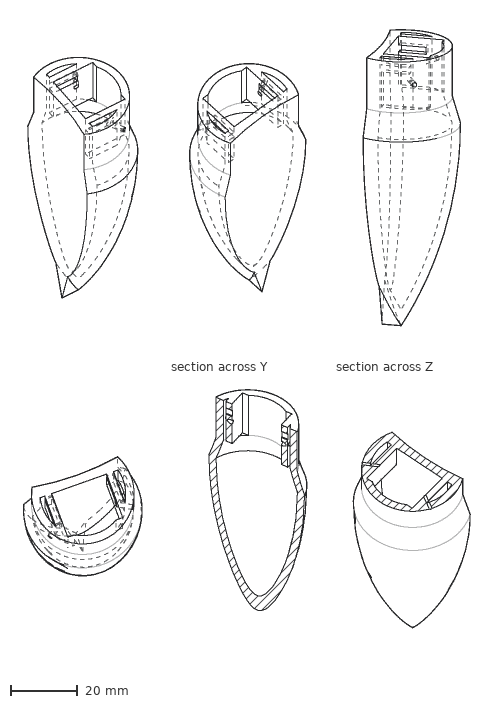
import cadquery as cq
import math

total_height = 88.1
neck_base_z = 72.1
shoulder_z = 63.7

shoulder_radius = 17.76
neck_radius = 15.3
wall = 2.6

face_radius = 82.85
face_y = -5.9

wedge_height = 12.6
wedge_half_width = 3.2

floor_y = -3.2
bore_radius = neck_radius - wall
rib_inner_x = 8.7
rib_outer_x = 10.9
rib_thickness = rib_outer_x - rib_inner_x
channel_back_y = 10.9

window_bottom_z = 83.1
window_height = 2.2
window_back_y = 5.4

pin_z = 80.7
pin_radius = 0.7
pin_angle = 30


def box(x_min, x_max, y_min, y_max, z_min, z_max):
    size = (x_max - x_min, y_max - y_min, z_max - z_min)
    return cq.Workplane("XY").box(*size, centered=False).translate((x_min, y_min, z_min))


def bullet(neck_r, shoulder_r, tip_z):
    """Revolved neck, flare and ogive; the ogive arc starts vertical at the shoulder."""
    drop = shoulder_z - tip_z
    arc_radius = (shoulder_r**2 + drop**2) / (2 * shoulder_r)
    half_sweep = math.asin(drop / arc_radius) / 2
    mid_r = shoulder_r - arc_radius * (1 - math.cos(half_sweep))
    mid_z = shoulder_z - arc_radius * math.sin(half_sweep)
    profile = (
        cq.Workplane("XZ")
        .moveTo(0, tip_z)
        .threePointArc((mid_r, mid_z), (shoulder_r, shoulder_z))
        .lineTo(neck_r, neck_base_z)
        .lineTo(neck_r, total_height)
        .lineTo(0, total_height)
        .close()
    )
    return profile.revolve(360, (0, 0, 0), (0, 1, 0))


def outer_body():
    wedge = (
        cq.Workplane("XZ")
        .polyline([(0, 0), (wedge_half_width, wedge_height), (-wedge_half_width, wedge_height)])
        .close()
        .extrude(shoulder_radius)
    )
    face_cutter = (
        cq.Workplane("XY")
        .center(0, face_y - face_radius)
        .circle(face_radius)
        .extrude(total_height)
    )
    return bullet(neck_radius, shoulder_radius, 0).union(wedge).cut(face_cutter)


def cavity():
    """Hollow with a flat front wall, a box channel in the neck and a rib on each side."""
    arc_radius = (shoulder_radius**2 + shoulder_z**2) / (2 * shoulder_radius)
    inner_drop = math.sqrt((arc_radius - wall)**2 - (arc_radius - shoulder_radius)**2)
    hollow = bullet(bore_radius, shoulder_radius - wall, shoulder_z - inner_drop)
    reach = shoulder_radius
    hollow = hollow.intersect(box(-reach, reach, floor_y, reach, 0, total_height))
    channel = box(-rib_inner_x, rib_inner_x, floor_y, channel_back_y, neck_base_z, total_height)
    hollow = hollow.union(channel)
    for rib_x in (-rib_outer_x, rib_inner_x):
        rib = box(rib_x, rib_x + rib_thickness, floor_y, reach, neck_base_z, total_height)
        window = box(
            rib_x, rib_x + rib_thickness, floor_y, window_back_y,
            window_bottom_z, window_bottom_z + window_height,
        )
        hollow = hollow.cut(rib).union(window)
    return hollow


def pin_hole(angle):
    """Radial hole from inside the channel out through the neck wall."""
    start_radius = rib_inner_x
    hole = cq.Workplane("YZ").circle(pin_radius).extrude(shoulder_radius - start_radius)
    return hole.translate((start_radius, 0, pin_z)).rotate((0, 0, 0), (0, 0, 1), angle)


result = outer_body().cut(cavity())
for angle in (pin_angle, 180 - pin_angle):
    result = result.cut(pin_hole(angle))